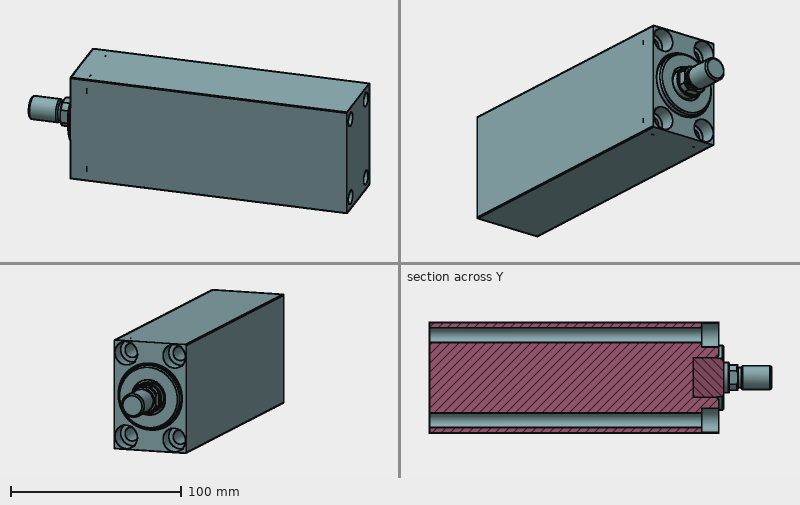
import cadquery as cq


housing_length = 170.0
housing_width = 45.0
housing_height = 65.0
long_edge_chamfer = 0.5

hole_spacing_y = 30.0
hole_spacing_z = 50.0
hole_diameter = 8.5
counterbore_diameter = 14.0
counterbore_depth = 10.0

gland_diameter = 38.0
gland_projection = 3.0
gland_insertion = 15.0
gland_chamfer = 1.0
recess_mouth_chamfer = 1.0

wiper_diameter = 21.0
wiper_sink = 1.5
wiper_length = 4.0

rod_diameter = 18.0
rod_chamfer = 0.5
rod_projection = 28.0
flats_length = 5.0
flats_width = 15.0
flats_diameter = 17.0
flats_chamfer = 0.5
thread_diameter = 14.0
thread_chamfer = 1.0
threaded_end_length = 20.0
neck_diameter = 12.0
neck_length = 2.0
neck_flare = 0.5

gland_front = -gland_projection
wiper_front = gland_front + wiper_sink
wiper_end = wiper_front + wiper_length
rod_tip = gland_front - rod_projection
flats_start = rod_tip + threaded_end_length
flats_end = flats_start + flats_length
neck_start = flats_start - neck_length


def cylinder(diameter, start, end):
    """Cylinder on the rod axis between two X positions."""
    return cq.Workplane("YZ", origin=(start, 0, 0)).circle(diameter / 2).extrude(end - start)


def cone(start_diameter, end_diameter, start, end):
    """Truncated cone on the rod axis, from one diameter to another between two X positions."""
    return (
        cq.Workplane("XY")
        .moveTo(start, 0)
        .lineTo(start, start_diameter / 2)
        .lineTo(end, end_diameter / 2)
        .lineTo(end, 0)
        .close()
        .revolve(360, (0, 0, 0), (1, 0, 0))
    )


def make_housing():
    block = (
        cq.Workplane("YZ")
        .rect(housing_width, housing_height)
        .extrude(housing_length)
        .edges("|X")
        .chamfer(long_edge_chamfer)
    )
    drilled = (
        block.faces("<X")
        .workplane(origin=(0, 0, 0))
        .rect(hole_spacing_y, hole_spacing_z, forConstruction=True)
        .vertices()
        .cboreHole(hole_diameter, counterbore_diameter, counterbore_depth)
    )
    recess = cylinder(gland_diameter, 0, gland_insertion)
    mouth_diameter = gland_diameter + 2 * recess_mouth_chamfer
    recess_mouth = cone(mouth_diameter, gland_diameter, 0, recess_mouth_chamfer)
    return drilled.cut(recess).cut(recess_mouth)


def make_gland():
    outer = cylinder(gland_diameter, gland_front, gland_insertion).faces("<X").chamfer(gland_chamfer)
    rod_bore = cylinder(rod_diameter, gland_front, gland_insertion)
    wiper_pocket = cylinder(wiper_diameter, gland_front, wiper_end)
    return outer.cut(rod_bore).cut(wiper_pocket)


def make_wiper():
    return cylinder(wiper_diameter, wiper_front, wiper_end).cut(cylinder(rod_diameter, wiper_front, wiper_end))


def make_rod():
    thread = cylinder(thread_diameter, rod_tip, neck_start).faces("<X or >X").chamfer(thread_chamfer)
    flare = cone(neck_diameter, neck_diameter + 2 * neck_flare, flats_start - neck_flare, flats_start)
    neck = cylinder(neck_diameter, neck_start, flats_start)
    wrench_square = (
        cq.Workplane("YZ", origin=(flats_start, 0, 0))
        .rect(flats_width, flats_width)
        .extrude(flats_length)
    )
    wrench_flats = (
        cylinder(flats_diameter, flats_start, flats_end)
        .faces("<X")
        .chamfer(flats_chamfer)
        .intersect(wrench_square)
    )
    shank = cylinder(rod_diameter, flats_end, gland_insertion).faces("<X").chamfer(rod_chamfer)
    return shank.union(wrench_flats).union(neck).union(flare).union(thread)


housing = make_housing()
gland = make_gland()
wiper = make_wiper()
rod = make_rod()

result = cq.Compound.makeCompound([housing.val(), gland.val(), wiper.val(), rod.val()])